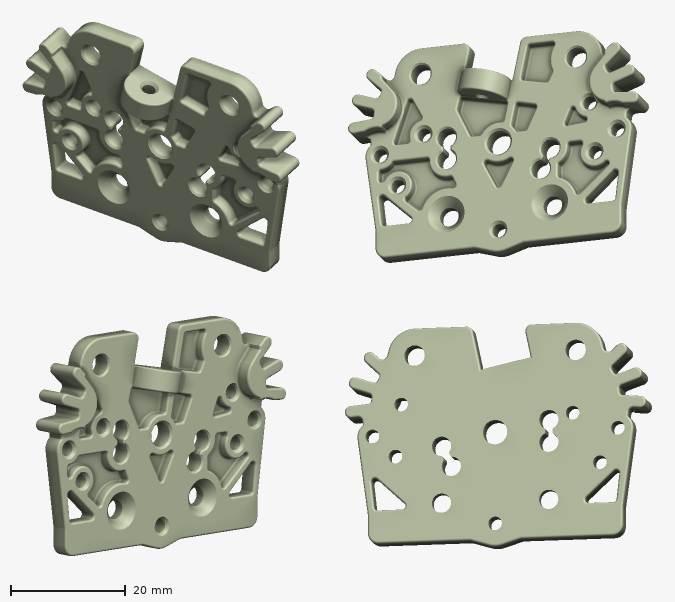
import cadquery as cq
import math

PLATE_T = 3.4
FORK_T = 6.3
POCKET_DEPTH = 2.0
EDGE_R = 0.38
WALL = 1.5

TOP_Z = 18.9
BASE_Z = -18.95
BASE_HALF_W = 22.58
BASE_CORNER_R = 1.9
SIDE_KNEE_Z = -13.9
NOSE_HALF_W = 4.5
NOSE_R = 4.0
NECK_R = 0.9

PIVOT_D = 4.3
TOP_D = 3.6
SCREW_D = 3.4
PIN_D = 2.4
PIVOT_RIM = 0.4
TOP_RIM = 0.3
PIN_RIM = 0.5
SINK_D = 6.7
HEAD_R = 4.8
SIDE_X = 21.75
TOP_X = 14.27
TOP_HOLE_Z = 14.05
SINK_X = 9.5
SINK_Z = -12.23
NOSE_Z = -16.15
UPPER_PIN_L = (-13.73, 2.95)
LOWER_PIN_L = (-18.56, -5.98)
UPPER_PIN_R = (16.65, 5.47)
LOWER_PIN_R = (17.65, -3.7)
KEYHOLE_L = ((-9.52, 1.88), (-9.52, -2.12))
KEYHOLE_R = ((9.49, -2.17), (7.75, -5.77))
KEYHOLE_NECK = 1.3

PIVOT_RING = PIVOT_D / 2 + WALL
SCREW_RING = SCREW_D / 2 + WALL
PIN_RING = PIN_D / 2 + WALL
SINK_RING = SINK_D / 2 + WALL

HUB = (-13.3, 5.6)
PAD_CENTER = (-21.64, 8.23)
PAD_R = 4.05
TINES = ((137, 8.5, 12.27), (161, 8.5, 12.28), (185, 8.0, 12.37))
TINE_W = 2.1
GAP_R = 8.75
GAP_CORNER_R = 0.6
HEAD_CLEARANCE_R = 4.15
SHOULDER_START = (-20.4, 13.0)
SHOULDER_END_ANGLE = 36

TILT = 12
NOTCH_LEFT = -8.84
NOTCH_W = 9.0
NOTCH_CORNER_R = 1.2
LUG_BOTTOM = 7.65
LUG_TOP = 11.5
LUG_AXIS_X = NOTCH_LEFT + NOTCH_W / 2
LUG_AXIS_Y = -4.0
LUG_ROOT_Y = -1.0
LUG_BORE = 2.4
LUG_RIM = 0.5

NECKS = ((-19.4, 13.0), (-23.6, 3.7))
NECK_TOLERANCE = 0.45
POCKET_CORNER_R = 0.5
FLOOR_R = 0.4
WINDOW_CORNER_R = 0.6
KEYHOLE_NECK_R = 0.4
KEYHOLE_CORNER = 0.78
LUG_EDGE_R = 0.3
KEYHOLE_RIM = 0.3
ROOT_REACH = 8.0
FLAT_TOLERANCE = 0.01


def prism(sketch, start, end):
    """Extrude a closed XZ profile between two depths in front of the back face."""
    return sketch.extrude(end - start).translate((0, -start, 0))


def polygon(points, start, end):
    return prism(cq.Workplane("XZ").polyline(points).close(), start, end)


def disc(center, radius, start, end):
    return prism(cq.Workplane("XZ").center(*center).circle(radius), start, end)


def rim_cone(center, radius, width):
    """Conical rim cut, 45 degrees, opening at the front face."""
    cone = cq.Solid.makeCone(radius, radius + width, width,
                             cq.Vector(center[0], width - PLATE_T, center[1]), cq.Vector(0, -1, 0))
    return cq.Workplane(cone)


def mirrored(body):
    return body.union(body.mirror("YZ"))


def polar(center, radius, degrees):
    angle = math.radians(degrees)
    return (center[0] + radius * math.cos(angle), center[1] + radius * math.sin(angle))


def tilted(body):
    """Lean a body clockwise in the plate plane, about the central hole."""
    return body.rotate((0, 0, 0), (0, 1, 0), TILT)


def upright_edges_near(body, center, radius, tolerance=0.05):
    """Edges along Y whose distance from a centre equals the radius."""
    edges = body.edges("|Y").vals()
    near = [e for e in edges
            if abs(math.hypot(e.Center().x - center[0], e.Center().z - center[1]) - radius) < tolerance]
    return body.newObject(near)


def rectangle(center, reach):
    """Corners of a square reaching equally far from its centre."""
    x, z = center
    return [(x - reach, z - reach), (x + reach, z - reach), (x + reach, z + reach), (x - reach, z + reach)]


def edges_at_front(body, center, reach):
    """Edges lying in the plate's front plane, within reach of a centre."""
    x, z = center
    low = (x - reach, -PLATE_T - FLAT_TOLERANCE, z - reach)
    high = (x + reach, -PLATE_T + FLAT_TOLERANCE, z + reach)
    return body.edges(cq.selectors.BoxSelector(low, high, boundingbox=True))


def tines(start, end):
    """Three round-ended fingers fanning out from the hub."""
    body = cq.Workplane("XZ")
    for angle, root, tip in TINES:
        middle = polar(HUB, (root + tip) / 2, angle)
        tine = cq.Workplane("XZ").slot2D(tip - root + TINE_W, TINE_W).extrude(end - start)
        body = body.add(tine.rotate((0, 0, 0), (0, 1, 0), -angle).translate((middle[0], -start, middle[1])))
    return body.combine()


def fork_profile(start, end):
    """Left fork: part disc plus three tines, with rounded gap bottoms."""
    pad = disc(PAD_CENTER, PAD_R, start, end).intersect(disc(HUB, GAP_R, start, end))
    body = pad.union(tines(start, end))
    return upright_edges_near(body, HUB, GAP_R, 0.15).fillet(GAP_CORNER_R)


def half_plate(thickness):
    """Left half of the plate outline, up to the symmetry plane, without the fork."""
    top_hole = (-TOP_X, TOP_HOLE_Z)
    side_hole = (-SIDE_X, 0)
    profile = (
        cq.Workplane("XZ")
        .moveTo(0, TOP_Z)
        .lineTo(-TOP_X, TOP_Z)
        .threePointArc(polar(top_hole, HEAD_R, 130), polar(top_hole, HEAD_R, 168))
        .lineTo(-19.5, 12.6)
        .lineTo(-19.5, 9.0)
        .lineTo(-21.0, 5.5)
        .lineTo(-23.6, 3.9)
        .lineTo(*polar(side_hole, PIN_RING, 130))
        .threePointArc(polar(side_hole, PIN_RING, 160), polar(side_hole, PIN_RING, 186))
        .lineTo(-BASE_HALF_W, SIDE_KNEE_Z)
        .lineTo(-BASE_HALF_W, BASE_Z)
        .lineTo(-NOSE_HALF_W, BASE_Z)
        .lineTo(*polar((0, NOSE_Z), NOSE_R, 254))
        .threePointArc(polar((0, NOSE_Z), NOSE_R, 262), (0, NOSE_Z - NOSE_R))
        .close()
    )
    plate = prism(profile, 0, thickness)
    return upright_edges_near(plate, (-BASE_HALF_W, BASE_Z), 0).fillet(BASE_CORNER_R)


def half_outline(thickness):
    """Left half of the plate joined with its fork, with rounded necks between them."""
    half = half_plate(thickness).union(fork_profile(0, thickness))
    for junction in NECKS:
        half = upright_edges_near(half, junction, 0, NECK_TOLERANCE).fillet(NECK_R)
    return half


def slab():
    """Plate layer with the forks and the tilted notch, edges still sharp."""
    notch = polygon(
        [
            (NOTCH_LEFT, LUG_TOP),
            (NOTCH_LEFT, 2 * TOP_Z),
            (NOTCH_LEFT + NOTCH_W, 2 * TOP_Z),
            (NOTCH_LEFT + NOTCH_W, LUG_TOP),
        ],
        0,
        PLATE_T,
    )
    plate = mirrored(half_outline(PLATE_T)).cut(tilted(notch))
    lean = math.tan(math.radians(TILT))
    for wall in (NOTCH_LEFT, NOTCH_LEFT + NOTCH_W):
        corner_x = TOP_Z * lean + wall / math.cos(math.radians(TILT))
        plate = upright_edges_near(plate, (corner_x, TOP_Z), 0).fillet(NOTCH_CORNER_R)
    return plate


def pocket(points, rings, corner_r=POCKET_CORNER_R):
    """Blind pocket: a polygon kept clear of the walls around nearby holes."""
    body = polygon(points, PLATE_T - POCKET_DEPTH, PLATE_T)
    for center, radius in rings:
        body = body.cut(disc(center, radius, 0, PLATE_T))
    body = body.edges("|Y").fillet(corner_r)
    return body.faces(">Y").edges().fillet(FLOOR_R)


def pockets():
    pivot_ring = ((0, 0), PIVOT_RING)
    return [
        pocket([(-16.35, 10.5), (-13.2, 4.5), (-13.7, 1.6), (-19.4, 1.6)], [(UPPER_PIN_L, PIN_RING)]),
        pocket(
            [
                (-22.0, -1.4),
                (-11.6, -1.4),
                (-9.5, -3.3),
                (-7.3, -8.1),
                (-9.5, -12.2),
                (-13.7, -11.8),
                (-18.6, -7.6),
                (-18.6, -5.0),
                (-22.0, -5.0),
            ],
            [
                ((-SIDE_X, 0), PIN_RING),
                (LOWER_PIN_L, PIN_RING),
                (KEYHOLE_L[1], SCREW_RING),
                ((-SINK_X, SINK_Z), SINK_RING),
            ],
        ),
        pocket([(-7.03, 9.2), (-7.6, 6.8), (-5.1, 1.6), (0.52, 1.6), (1.72, 7.4)], [pivot_ring]),
        pocket([(3.2, 7.0), (7.2, 6.1), (5.1, 1.6), (2.1, 1.6)], [pivot_ring]),
        pocket([(0, -8.9), (-3.0, -3.1), (3.0, -3.1)], [pivot_ring]),
        pocket(
            [(11.9, 1.6), (13.32, 5.0), (14.5, 5.0), (16.2, 4.2), (16.2, 2.0)],
            [(UPPER_PIN_R, PIN_RING)],
            0.45,
        ),
        pocket(
            [(5.4, 17.4), (11.0, 17.4), (11.2, 14.1), (10.4, 12.8), (9.0, 10.0), (4.1, 11.0)],
            [((TOP_X, TOP_HOLE_Z), HEAD_R)],
        ),
        pocket(
            [
                (11.8, -1.4),
                (15.4, -1.4),
                (15.4, -2.5),
                (17.6, -3.7),
                (17.6, -5.6),
                (21.1, -5.6),
                (13.9, -12.0),
                (9.5, -12.2),
                (10.9, -8.0),
                (10.9, -4.1),
                (9.5, -2.2),
            ],
            [
                (LOWER_PIN_R, PIN_RING),
                (KEYHOLE_R[0], SCREW_RING),
                ((SINK_X, SINK_Z), SINK_RING),
            ],
        ),
    ]


def window():
    """Left triangular through window."""
    body = polygon([(-22.15, -6.45), (-15.0, -13.05), (-21.4, -13.05)], 0, PLATE_T)
    return body.edges("|Y").fillet(WINDOW_CORNER_R)


def keyhole(centers):
    """Two joined screw holes with a narrow rounded neck."""
    (x1, z1), (x2, z2) = centers
    angle = math.degrees(math.atan2(z2 - z1, x2 - x1))
    neck = cq.Workplane("XZ").rect(math.dist(*centers), KEYHOLE_NECK).extrude(PLATE_T)
    neck = neck.rotate((0, 0, 0), (0, 1, 0), -angle).translate(((x1 + x2) / 2, 0, (z1 + z2) / 2))
    body = neck
    for center in centers:
        body = body.union(disc(center, SCREW_D / 2, 0, PLATE_T))
    neck_corners = upright_edges_near(body, ((x1 + x2) / 2, (z1 + z2) / 2), KEYHOLE_CORNER, 0.1)
    return neck_corners.fillet(KEYHOLE_NECK_R)


def fork():
    """Left fork in front of the plate, with rounded front edges and a rounded root."""
    clearance = disc((-SIDE_X, 0), HEAD_CLEARANCE_R, PLATE_T, FORK_T)
    start_x, start_z = SHOULDER_START
    end = polar(PAD_CENTER, PAD_R, SHOULDER_END_ANGLE)
    inside = polar(PAD_CENTER, PAD_R * 0.7, 50)
    shoulder = polygon([SHOULDER_START, end, inside], PLATE_T, FORK_T)
    above = polygon([SHOULDER_START, end, (end[0], TOP_Z), (start_x, TOP_Z)], PLATE_T, FORK_T)
    standing = fork_profile(PLATE_T, FORK_T).cut(clearance).union(shoulder).cut(above)
    standing = standing.faces("<Y").edges().fillet(EDGE_R)
    base = polygon(rectangle(PAD_CENTER, ROOT_REACH + 1), PLATE_T - EDGE_R, PLATE_T)
    rooted = base.union(standing)
    rooted = edges_at_front(rooted, PAD_CENTER, ROOT_REACH).fillet(EDGE_R)
    front_space = polygon(rectangle(PAD_CENTER, ROOT_REACH + 1), PLATE_T, FORK_T)
    front = rooted.intersect(front_space).intersect(half_outline(FORK_T))
    return front.union(fork_profile(EDGE_R, PLATE_T))


def round_holes():
    """(centre, bore diameter, rim width) of every round hole with a conical rim."""
    pins = [(-SIDE_X, 0), (SIDE_X, 0), (0, NOSE_Z), UPPER_PIN_L, LOWER_PIN_L, UPPER_PIN_R, LOWER_PIN_R]
    holes = [(center, PIN_D, PIN_RIM) for center in pins]
    holes.append(((0, 0), PIVOT_D, PIVOT_RIM))
    for side in (-1, 1):
        holes.append(((side * TOP_X, TOP_HOLE_Z), TOP_D, TOP_RIM))
        holes.append(((side * SINK_X, SINK_Z), SCREW_D, (SINK_D - SCREW_D) / 2))
    return holes


def lug():
    """Half-round lug standing forward from the bottom of the notch, before tilting."""
    right = LUG_AXIS_X + NOTCH_W / 2
    body = (
        cq.Workplane("XY")
        .workplane(offset=LUG_BOTTOM)
        .moveTo(NOTCH_LEFT, LUG_ROOT_Y)
        .lineTo(NOTCH_LEFT, LUG_AXIS_Y)
        .threePointArc((LUG_AXIS_X, LUG_AXIS_Y - NOTCH_W / 2), (right, LUG_AXIS_Y))
        .lineTo(right, LUG_ROOT_Y)
        .close()
        .extrude(LUG_TOP - LUG_BOTTOM)
    )
    return body.faces("<Z or >Z").edges("not(>Y)").fillet(LUG_EDGE_R)


def lug_bore():
    """Countersunk bore along the lug axis, before tilting."""
    bore = cq.Workplane("XY").workplane(offset=LUG_BOTTOM).center(LUG_AXIS_X, LUG_AXIS_Y)
    bore = bore.circle(LUG_BORE / 2).extrude(LUG_TOP - LUG_BOTTOM)
    countersink = cq.Solid.makeCone(
        LUG_BORE / 2, LUG_BORE / 2 + LUG_RIM, LUG_RIM, cq.Vector(LUG_AXIS_X, LUG_AXIS_Y, LUG_TOP - LUG_RIM)
    )
    return bore.union(cq.Workplane(countersink))


def build():
    plate = slab()
    for cutter in pockets():
        plate = plate.cut(cutter)
    left_window = window()
    plate = plate.cut(left_window).cut(left_window.mirror("YZ"))
    plate = plate.faces("<Y").edges().fillet(EDGE_R)
    plate = plate.faces(">Y").edges().fillet(EDGE_R)
    for centers in (KEYHOLE_L, KEYHOLE_R):
        plate = plate.cut(keyhole(centers))
        middle = ((centers[0][0] + centers[1][0]) / 2, (centers[0][1] + centers[1][1]) / 2)
        plate = edges_at_front(plate, middle, math.dist(*centers)).chamfer(KEYHOLE_RIM)
    plate = plate.union(mirrored(fork()))
    for center, bore, rim in round_holes():
        plate = plate.cut(disc(center, bore / 2, 0, FORK_T)).cut(rim_cone(center, bore / 2, rim))
    return plate.union(tilted(lug())).cut(tilted(lug_bore()))


result = build()